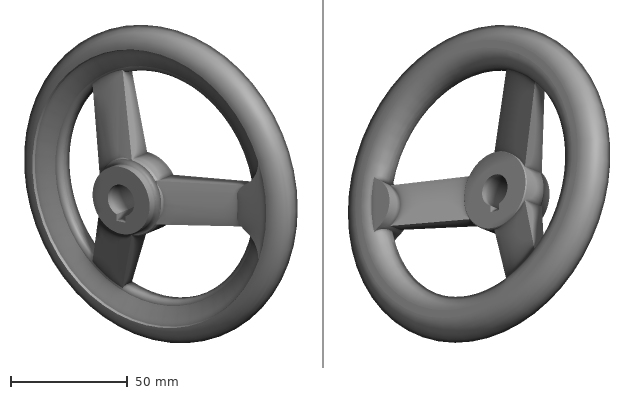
import cadquery as cq
import math

wheel_radius = 70.0
rim_half_depth = 8.5
rim_crown_radius = wheel_radius - rim_half_depth
rim_bore_radius = 50.4
lip_radius = 52.9
lip_front_y = -3.6
step_width = 0.4
step_depth = 1.3
rim_back_corner = 7.7

hub_front_y = rim_half_depth - 38.0
hub_back_y = -10.6
nose_radius = 15.0
hub_radius = 17.4
nose_length = 4.2
hub_flare = 1.8
flare_end_y = hub_front_y + nose_length + hub_flare
hub_shoulder_y = -22.4
hub_chamfer = 0.4
bore_radius = 7.0
keyway_width = 4.8
keyway_reach = 9.5

spoke_count = 3
spoke_start = 11.2
spoke_end = 52.6
spoke_half_width_start = 9.8
spoke_half_width_end = 9.1
spoke_crown = 0.5
spoke_slope = 0.54
spoke_front_y = -22.3
spoke_back_slope = 0.4

boss_offset = 56.0
boss_radius = 12.3
pad_y = -7.1
boss_back_y = -pad_y
flare_radius = 13.0
flare_center_x = 43.3
center_distance = boss_radius + flare_radius
flare_center_z = math.sqrt(center_distance**2 - (boss_offset - flare_center_x)**2)
tangent_x = boss_offset - (boss_offset - flare_center_x) * boss_radius / center_distance


def disc(radius, front_y, back_y, x=0):
    """Cylinder along Y between two Y positions."""
    plane = cq.Workplane("XZ", origin=(x, front_y, 0))
    return plane.circle(radius).extrude(front_y - back_y)


def make_rim():
    """Half-round outside, dished front face and rounded back inner corner."""
    diagonal = math.sqrt(0.5)
    step_radius = rim_crown_radius - step_width
    lip_round = lip_radius - rim_bore_radius
    corner_center_x = rim_bore_radius + rim_back_corner
    corner_center_y = rim_half_depth - rim_back_corner
    profile = (
        cq.Workplane("XY")
        .moveTo(rim_crown_radius, -rim_half_depth)
        .threePointArc((wheel_radius, 0), (rim_crown_radius, rim_half_depth))
        .lineTo(corner_center_x, rim_half_depth)
        .threePointArc(
            (corner_center_x - rim_back_corner * diagonal, corner_center_y + rim_back_corner * diagonal),
            (rim_bore_radius, corner_center_y),
        )
        .lineTo(rim_bore_radius, lip_front_y + lip_round)
        .threePointArc(
            (lip_radius - lip_round * diagonal, lip_front_y + lip_round * (1 - diagonal)),
            (lip_radius, lip_front_y),
        )
        .lineTo(step_radius, step_depth - rim_half_depth)
        .close()
    )
    return profile.revolve(360, (0, 0, 0), (0, 1, 0))


def make_hub():
    """Turned hub: a narrower nose that flares out to the body."""
    flare_start_y = hub_front_y + nose_length
    flare_mid = hub_flare * math.sqrt(0.5)
    profile = (
        cq.Workplane("XY")
        .moveTo(0, hub_front_y)
        .lineTo(nose_radius, hub_front_y)
        .lineTo(nose_radius, flare_start_y)
        .threePointArc(
            (nose_radius + hub_flare - flare_mid, flare_start_y + flare_mid),
            (nose_radius + hub_flare, flare_end_y),
        )
        .lineTo(hub_radius, hub_shoulder_y)
        .lineTo(hub_radius, hub_back_y - hub_chamfer)
        .lineTo(hub_radius - hub_chamfer, hub_back_y)
        .lineTo(0, hub_back_y)
        .close()
    )
    return profile.revolve(360, (0, 0, 0), (0, 1, 0))


def spoke_section(x, half_width):
    """Spoke cross-section at distance x, with a slightly crowned front."""
    front_y = spoke_front_y + spoke_slope * (x - hub_radius)
    back_y = hub_back_y + spoke_back_slope * (x - hub_radius)
    section = (
        cq.Workplane("YZ", origin=(x, 0, 0))
        .moveTo(back_y, -half_width)
        .lineTo(front_y + spoke_crown, -half_width)
        .threePointArc((front_y, 0), (front_y + spoke_crown, half_width))
        .lineTo(back_y, half_width)
        .close()
    )
    return section.val()


def make_spoke():
    """Tapering spoke running from inside the hub into the rim."""
    inner = spoke_section(spoke_start, spoke_half_width_start)
    outer = spoke_section(spoke_end, spoke_half_width_end)
    spoke = cq.Workplane(cq.Solid.makeLoft([inner, outer], True))
    return spoke.cut(disc(hub_radius, hub_front_y, flare_end_y))


def make_handle_boss():
    """Round boss whose flat front blends into the rim with concave flares."""
    boss = disc(boss_radius, pad_y, boss_back_y, boss_offset)
    pad_width = wheel_radius - tangent_x
    pad = cq.Workplane("XY").box(
        pad_width, boss_back_y - pad_y, 2 * flare_center_z, centered=False
    ).translate((tangent_x, pad_y, -flare_center_z))
    for side in (-1, 1):
        flare = disc(flare_radius, pad_y, boss_back_y, flare_center_x)
        pad = pad.cut(flare.translate((0, 0, side * flare_center_z)))
    return boss.union(pad).intersect(disc(rim_crown_radius - step_width, pad_y, boss_back_y))


def make_bore():
    """Through bore with a keyway on the -Z side."""
    keyway = cq.Workplane("XY").box(
        keyway_width, hub_back_y - hub_front_y, keyway_reach, centered=(True, False, False)
    ).translate((0, hub_front_y, -keyway_reach))
    return disc(bore_radius, hub_front_y, hub_back_y).union(keyway)


result = make_rim().union(make_hub())
for index in range(spoke_count):
    angle = index * 360 / spoke_count
    result = result.union(make_spoke().rotate((0, 0, 0), (0, 1, 0), angle))
result = result.union(make_handle_boss()).cut(make_bore())